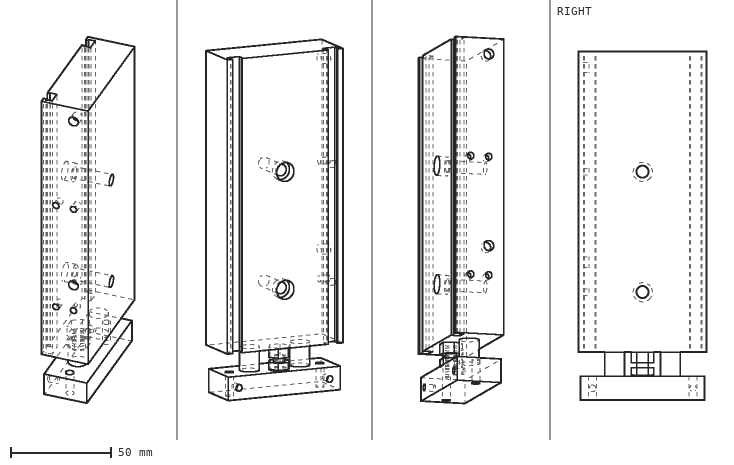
import cadquery as cq

total_height = 174.0

housing_depth = 25.0
housing_width = 64.0
housing_bottom = 24.0
housing_height = total_height - housing_bottom
housing_front = -housing_depth / 2
housing_side = -housing_width / 2

slot_offset = 26.5
slot_mouth_width = 5.2
slot_inner_width = 6.5
slot_depth = 4.9
slot_lip = 1.4

mount_levels = (54.0, 114.0)
mount_hole_diameter = 6.0
counterbore_diameter = 9.5
counterbore_depth = 5.2

port_diameter = 5.0
port_depth = 5.2
port_levels = (68.9, 166.0)
side_hole_diameter = 3.3
side_hole_depth = 5.2
side_hole_offset = 4.7

plate_depth = 23.0
plate_width = 62.0
plate_height = 12.0
rod_diameter = 10.0
rod_offset = 14.0
plate_hole_offset = 25.0
plate_face_hole_diameter = 3.3
plate_face_hole_depth = 5.2
plate_vertical_hole_diameter = 4.0

bolt_x = -5.2
bolt_diameter = 6.0
hex_across_flats = 10.0
head_height = 5.4
nut_top = 16.2
washer_face_diameter = 9.5
washer_face_height = 0.5


def block(depth, width, height, bottom):
    """Box centred on the Z axis, standing on the given level."""
    return cq.Workplane("XY").workplane(offset=bottom).box(depth, width, height, centered=(True, True, False))


def cylinder(diameter, height, x, y, bottom):
    """Upright cylinder."""
    return cq.Workplane("XY").workplane(offset=bottom).center(x, y).circle(diameter / 2).extrude(height)


def hole_along_x(diameter, depth, start_x, y, z):
    """Cutter running towards +X."""
    return cq.Workplane("YZ").workplane(offset=start_x).center(y, z).circle(diameter / 2).extrude(depth)


def hole_along_y(diameter, depth, start_y, x, z):
    """Cutter running towards +Y; the XZ plane normal points to -Y."""
    return cq.Workplane("XZ").workplane(offset=-start_y).center(x, z).circle(diameter / 2).extrude(-depth)


def hexagon(height, bottom):
    """Hexagonal prism around the bolt axis with flats facing -X and +X."""
    axis_plane = cq.Workplane("XY").workplane(offset=bottom).center(bolt_x, 0)
    return axis_plane.polygon(6, hex_across_flats, circumscribed=True).extrude(height)


def slot_cutter(y):
    """Undercut slot running the full height of the -X face."""
    mouth = block(slot_depth, slot_mouth_width, housing_height, housing_bottom)
    mouth = mouth.translate((housing_front + slot_depth / 2, y, 0))
    inner_depth = slot_depth - slot_lip
    inner = block(inner_depth, slot_inner_width, housing_height, housing_bottom)
    inner = inner.translate((housing_front + slot_lip + inner_depth / 2, y, 0))
    return mouth.union(inner)


def make_housing():
    housing = block(housing_depth, housing_width, housing_height, housing_bottom)
    for side in (-1, 1):
        housing = housing.cut(slot_cutter(side * slot_offset))
    for level in mount_levels:
        housing = housing.cut(hole_along_x(mount_hole_diameter, housing_depth, housing_front, 0, level))
        housing = housing.cut(hole_along_x(counterbore_diameter, counterbore_depth, housing_front, 0, level))
        for side in (-1, 1):
            x = side * side_hole_offset
            housing = housing.cut(hole_along_y(side_hole_diameter, side_hole_depth, housing_side, x, level))
    for level in port_levels:
        housing = housing.cut(hole_along_y(port_diameter, port_depth, housing_side, side_hole_offset, level))
    return housing


def make_rod_plate():
    """End plate carrying the two guide rods, which reach the underside of the housing."""
    plate = block(plate_depth, plate_width, plate_height, 0)
    for side in (-1, 1):
        hole_y = side * plate_hole_offset
        face_hole = hole_along_x(
            plate_face_hole_diameter, plate_face_hole_depth, -plate_depth / 2, hole_y, plate_height / 2
        )
        vertical_hole = cylinder(plate_vertical_hole_diameter, plate_height, 0, hole_y, 0)
        rod = cylinder(rod_diameter, housing_bottom - plate_height, 0, side * rod_offset, plate_height)
        plate = plate.cut(face_hole).cut(vertical_hole).union(rod)
    return plate


def make_stop_bolt():
    """Bolt with a hexagonal head under the housing and a lock nut on the plate."""
    nut_bottom = plate_height + washer_face_height
    shank = cylinder(bolt_diameter, housing_bottom - plate_height, bolt_x, 0, plate_height)
    washer_face = cylinder(washer_face_diameter, washer_face_height, bolt_x, 0, plate_height)
    nut = hexagon(nut_top - nut_bottom, nut_bottom)
    head = hexagon(head_height, housing_bottom - head_height)
    return shank.union(washer_face).union(nut).union(head)


housing = make_housing()
rod_plate = make_rod_plate()
stop_bolt = make_stop_bolt()

result = cq.Compound.makeCompound([housing.val(), rod_plate.val(), stop_bolt.val()])